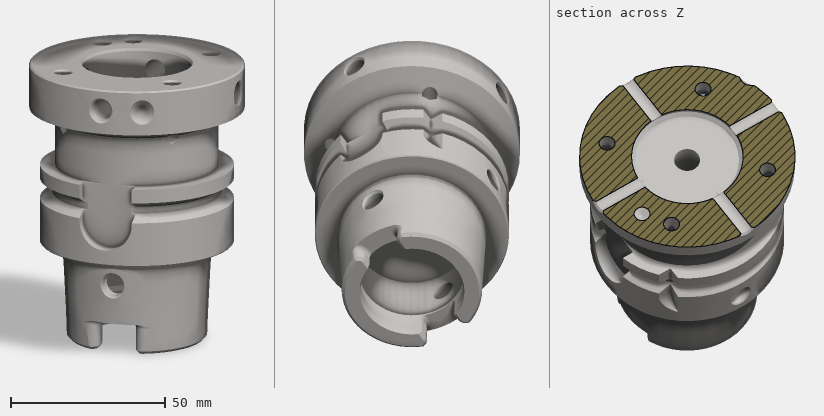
import cadquery as cq
import math

TOP_Z = 60.0
SHANK_LENGTH = 31.9

HEAD_RADIUS = 35.0
HEAD_HEIGHT = 14.7
HEAD_CHAMFER = 0.5
NECK_RADIUS = 26.5
NECK_TOP_Z = 42.0

FLANGE_RADIUS = 31.5
FLANGE_HEIGHT = 26.0
FLANGE_CHAMFER = 0.4
GROOVE_Z = 18.1
GROOVE_FLOOR_RADIUS = 27.5
GROOVE_MOUTH_HALF = 3.35
GROOVE_FLOOR_HALF = 1.15
GROOVE_BEND_HALF = 1.7
GROOVE_BEND_RADIUS = 28.4

TAPER_RATIO = 1 / 10
GAUGE_RADIUS = 24.0
GAUGE_Z = -6.3
RELIEF_RADIUS = 24.0
RELIEF_HEIGHT = 1.3
RELIEF_END = 2.1
SHANK_CHAMFER = 1.0

SHANK_BORE_RADIUS = 17.0
CHAMBER_RADIUS = 19.0
CHAMBER_BOTTOM_Z = -20.0
CHAMBER_SHOULDER_ANGLE = 30.0

RECESS_DEPTH = 12.0
RECESS_RADIUS = 17.7
RECESS_WALL_DEPTH = 9.8
RECESS_MOUTH_RADIUS = 18.1
RECESS_MOUTH_DEPTH = 0.95
RECESS_RELIEF_RADIUS = 18.0
RECESS_RELIEF_HEIGHT = 1.1
RECESS_FLOOR_RADIUS = 16.8
CENTRAL_HOLE_RADIUS = 4.2

AXIAL_CIRCLE_RADIUS = 26.5
AXIAL_HOLE_RADIUS = 2.5
AXIAL_MOUTH_RADIUS = 3.2
AXIAL_HOLE_DEPTH = 19.3
AXIAL_HOLE_COUNT = 4
EXTRA_HOLE_ANGLE = 112.5
EXTRA_HOLE_MOUTH_RADIUS = 3.05
EXTRA_HOLE_DEPTH = 10.0
DRILL_POINT_ANGLE = 118.0

HEAD_HOLE_DEPTH = 7.0
HEAD_HOLE_RADIUS = 3.5
HEAD_HOLE_MOUTH_RADIUS = 4.2
DIMPLE_ANGLE = 22.5
DIMPLE_RADIUS = 4.1
DIMPLE_CONE_ANGLE = 90.0
FLANGE_HOLE_Z = 7.0
FLANGE_HOLE_RADIUS = 3.75
FLANGE_HOLE_MOUTH_RADIUS = 4.15
FLANGE_HOLE_DEPTH = 6.0
SHANK_HOLE_Z = -8.9
SHANK_HOLE_RADIUS = 3.7
SHANK_HOLE_MOUTH_RADIUS = 4.4

FRONT_SLOT_WIDTH = 18.0
BACK_SLOT_WIDTH = 16.0
SLOT_FLOOR = 26.5
SLOT_CENTRE_Z = 14.0
NOTCH_CORNER = 19.9
NOTCH_RADIUS = 8.0
NOTCH_CENTRE_Z = 12.9

KEY_HALF_WIDTH = 6.27
KEY_EDGE_RADIUS = 2.8
KEY_CREST_Y = 20.9
KEY_FLARE_ANGLE = 25.0
KEY_FLARE_END_X = 12.1
KEY_INNER_Y = 15.0
KEY_CEILING_FILLET = 1.4
FRONT_KEY_TOP_Z = -21.8
BACK_KEY_TOP_Z = -26.1

CLEARANCE = 5.0
PICK_MARGIN = 0.1


def taper_radius(z):
    return GAUGE_RADIUS + (z - GAUGE_Z) * TAPER_RATIO / 2


def revolve_about_z(points):
    return cq.Workplane("XZ").polyline(points).close().revolve(360, (0, 0), (0, 1))


def head_and_flange():
    groove = [
        (FLANGE_RADIUS, GROOVE_Z + GROOVE_MOUTH_HALF),
        (GROOVE_BEND_RADIUS, GROOVE_Z + GROOVE_BEND_HALF),
        (GROOVE_FLOOR_RADIUS, GROOVE_Z + GROOVE_FLOOR_HALF),
        (GROOVE_FLOOR_RADIUS, GROOVE_Z - GROOVE_FLOOR_HALF),
        (GROOVE_BEND_RADIUS, GROOVE_Z - GROOVE_BEND_HALF),
        (FLANGE_RADIUS, GROOVE_Z - GROOVE_MOUTH_HALF),
    ]
    return revolve_about_z([
        (0, TOP_Z),
        (HEAD_RADIUS - HEAD_CHAMFER, TOP_Z),
        (HEAD_RADIUS, TOP_Z - HEAD_CHAMFER),
        (HEAD_RADIUS, TOP_Z - HEAD_HEIGHT),
        (NECK_RADIUS, NECK_TOP_Z),
        (NECK_RADIUS, FLANGE_HEIGHT),
        (FLANGE_RADIUS, FLANGE_HEIGHT),
        *groove,
        (FLANGE_RADIUS, FLANGE_CHAMFER),
        (FLANGE_RADIUS - FLANGE_CHAMFER, 0),
        (0, 0),
    ])


def key_slot_outline():
    """Plan of a key slot open toward -Y; each wall rounds over into a straight flare tangent to it."""
    flare = math.radians(KEY_FLARE_ANGLE)
    centre_x = KEY_HALF_WIDTH + KEY_EDGE_RADIUS
    centre_y = KEY_CREST_Y - KEY_EDGE_RADIUS
    round_end_x = centre_x + KEY_EDGE_RADIUS * math.sin(flare)
    round_end_y = centre_y + KEY_EDGE_RADIUS * math.cos(flare)
    diagonal = KEY_EDGE_RADIUS * math.sqrt(0.5)
    round_mid_x = centre_x - diagonal
    round_mid_y = centre_y + diagonal
    flare_end_y = round_end_y - (KEY_FLARE_END_X - round_end_x) * math.tan(flare)
    outer_y = taper_radius(0) + CLEARANCE
    return (
        cq.Workplane("XY", origin=(0, 0, SHANK_CHAMFER - SHANK_LENGTH))
        .moveTo(-KEY_FLARE_END_X, -outer_y)
        .lineTo(-KEY_FLARE_END_X, -flare_end_y)
        .lineTo(-round_end_x, -round_end_y)
        .threePointArc((-round_mid_x, -round_mid_y), (-KEY_HALF_WIDTH, -centre_y))
        .lineTo(-KEY_HALF_WIDTH, -KEY_INNER_Y)
        .lineTo(KEY_HALF_WIDTH, -KEY_INNER_Y)
        .lineTo(KEY_HALF_WIDTH, -centre_y)
        .threePointArc((round_mid_x, -round_mid_y), (round_end_x, -round_end_y))
        .lineTo(KEY_FLARE_END_X, -flare_end_y)
        .lineTo(KEY_FLARE_END_X, -outer_y)
        .close()
    )


def key_slot_cutter(top_z):
    """Key slot up to top_z, with a filleted ceiling and a 45 degree chamfer at the end face."""
    chamfer = key_slot_outline().extrude(-SHANK_CHAMFER, taper=-45)
    cutter = key_slot_outline().extrude(top_z + SHANK_LENGTH - SHANK_CHAMFER)
    wall_box = cq.selectors.BoxSelector(
        (-KEY_FLARE_END_X + PICK_MARGIN, -KEY_CREST_Y - PICK_MARGIN, top_z - PICK_MARGIN),
        (KEY_FLARE_END_X - PICK_MARGIN, -KEY_INNER_Y - PICK_MARGIN, top_z + PICK_MARGIN),
    )
    return cutter.edges(wall_box).fillet(KEY_CEILING_FILLET).union(chamfer)


def shank_cavity():
    """Bore from the end face, widening over a conical shoulder into a clamping chamber."""
    shoulder_height = (CHAMBER_RADIUS - SHANK_BORE_RADIUS) * math.tan(math.radians(CHAMBER_SHOULDER_ANGLE))
    return revolve_about_z([
        (0, 0),
        (CHAMBER_RADIUS, 0),
        (CHAMBER_RADIUS, CHAMBER_BOTTOM_Z),
        (SHANK_BORE_RADIUS, CHAMBER_BOTTOM_Z - shoulder_height),
        (SHANK_BORE_RADIUS, -SHANK_LENGTH),
        (0, -SHANK_LENGTH),
    ])


def shank():
    end_radius = taper_radius(SHANK_CHAMFER - SHANK_LENGTH)
    body = revolve_about_z([
        (0, 0),
        (RELIEF_RADIUS, 0),
        (RELIEF_RADIUS, -RELIEF_HEIGHT),
        (taper_radius(-RELIEF_END), -RELIEF_END),
        (end_radius, SHANK_CHAMFER - SHANK_LENGTH),
        (end_radius - SHANK_CHAMFER, -SHANK_LENGTH),
        (0, -SHANK_LENGTH),
    ])
    body = body.cut(key_slot_cutter(FRONT_KEY_TOP_Z))
    body = body.cut(key_slot_cutter(BACK_KEY_TOP_Z).rotate((0, 0, 0), (0, 0, 1), 180))
    return body.cut(shank_cavity())


def top_recess():
    relief_bottom = RECESS_WALL_DEPTH + RECESS_RELIEF_HEIGHT
    recess = revolve_about_z([
        (0, TOP_Z),
        (RECESS_MOUTH_RADIUS, TOP_Z),
        (RECESS_RADIUS, TOP_Z - RECESS_MOUTH_DEPTH),
        (RECESS_RADIUS, TOP_Z - RECESS_WALL_DEPTH),
        (RECESS_RELIEF_RADIUS, TOP_Z - RECESS_WALL_DEPTH),
        (RECESS_RELIEF_RADIUS, TOP_Z - relief_bottom),
        (RECESS_FLOOR_RADIUS, TOP_Z - RECESS_DEPTH),
        (0, TOP_Z - RECESS_DEPTH),
    ])
    return recess.union(cq.Workplane("XY").circle(CENTRAL_HOLE_RADIUS).extrude(TOP_Z))


def drill(radius, depth, mouth_radius):
    """Drill bit standing on Z = 0 and pointing down, with a 45 degree mouth chamfer."""
    point_length = radius / math.tan(math.radians(DRILL_POINT_ANGLE / 2))
    return revolve_about_z([
        (0, CLEARANCE),
        (mouth_radius, CLEARANCE),
        (mouth_radius, 0),
        (radius, radius - mouth_radius),
        (radius, -depth),
        (0, -depth - point_length),
    ])


def countersink(radius, cone_angle):
    """Conical cutter whose given radius lies at Z = 0, with its tip pointing down."""
    tip_depth = radius / math.tan(math.radians(cone_angle / 2))
    return revolve_about_z([
        (0, CLEARANCE),
        (radius, CLEARANCE),
        (radius, 0),
        (0, -tip_depth),
    ])


def aim_at_axis(tool, surface_radius, angle, z):
    """Aim a tool at the axis from the given radius; the angle runs from -Y toward +X."""
    return (
        tool.translate((0, 0, surface_radius))
        .rotate((0, 0, 0), (1, 0, 0), 90)
        .rotate((0, 0, 0), (0, 0, 1), angle)
        .translate((0, 0, z))
    )


def axial_holes(body):
    tool = drill(AXIAL_HOLE_RADIUS, AXIAL_HOLE_DEPTH, AXIAL_MOUTH_RADIUS)
    tool = tool.translate((AXIAL_CIRCLE_RADIUS, 0, TOP_Z))
    step = 360 / AXIAL_HOLE_COUNT
    for index in range(AXIAL_HOLE_COUNT):
        body = body.cut(tool.rotate((0, 0, 0), (0, 0, 1), (index + 0.5) * step))
    extra = drill(AXIAL_HOLE_RADIUS, EXTRA_HOLE_DEPTH, EXTRA_HOLE_MOUTH_RADIUS)
    extra = extra.translate((AXIAL_CIRCLE_RADIUS, 0, TOP_Z))
    return body.cut(extra.rotate((0, 0, 0), (0, 0, 1), EXTRA_HOLE_ANGLE))


def head_radial_holes(body):
    z = TOP_Z - HEAD_HOLE_DEPTH
    tool = drill(HEAD_HOLE_RADIUS, HEAD_RADIUS - RECESS_FLOOR_RADIUS, HEAD_HOLE_MOUTH_RADIUS)
    for angle in (0, 90, 180, 270):
        body = body.cut(aim_at_axis(tool, HEAD_RADIUS, angle, z))
    dimple = countersink(DIMPLE_RADIUS, DIMPLE_CONE_ANGLE)
    return body.cut(aim_at_axis(dimple, HEAD_RADIUS, DIMPLE_ANGLE, z))


def lower_radial_holes(body):
    flange_drill = drill(FLANGE_HOLE_RADIUS, FLANGE_HOLE_DEPTH, FLANGE_HOLE_MOUTH_RADIUS)
    body = body.cut(aim_at_axis(flange_drill, FLANGE_RADIUS, -90, FLANGE_HOLE_Z))
    surface = taper_radius(SHANK_HOLE_Z)
    shank_drill = drill(SHANK_HOLE_RADIUS, surface - SHANK_BORE_RADIUS, SHANK_HOLE_MOUTH_RADIUS)
    for angle in (0, 180):
        body = body.cut(aim_at_axis(shank_drill, surface, angle, SHANK_HOLE_Z))
    return body


def round_ended_slot(width, depth, centre_z, plane_y):
    """Upright slot with a round lower end, running from plane_y over a depth toward -Y."""
    radius = width / 2
    return (
        cq.Workplane("XZ", origin=(0, plane_y, 0))
        .moveTo(-radius, FLANGE_HEIGHT)
        .lineTo(-radius, centre_z)
        .threePointArc((0, centre_z - radius), (radius, centre_z))
        .lineTo(radius, FLANGE_HEIGHT)
        .close()
        .extrude(depth)
    )


def driving_slots(body):
    front = round_ended_slot(FRONT_SLOT_WIDTH, FLANGE_RADIUS, SLOT_CENTRE_Z, -SLOT_FLOOR)
    back = round_ended_slot(BACK_SLOT_WIDTH, FLANGE_RADIUS, SLOT_CENTRE_Z, -SLOT_FLOOR)
    return body.cut(front).cut(back.rotate((0, 0, 0), (0, 0, 1), 180))


def corner_notch(body):
    """Square-cornered notch in the flange rim toward (-X, +Y), with a round lower end."""
    depth = FLANGE_RADIUS - NOTCH_CORNER
    notch = round_ended_slot(2 * NOTCH_RADIUS, depth, NOTCH_CENTRE_Z, NOTCH_CORNER + depth)
    return body.cut(notch.translate((-NOTCH_CORNER - NOTCH_RADIUS, 0, 0)))


result = head_and_flange().union(shank()).cut(top_recess())
result = axial_holes(result)
result = head_radial_holes(result)
result = lower_radial_holes(result)
result = driving_slots(result)
result = corner_notch(result)